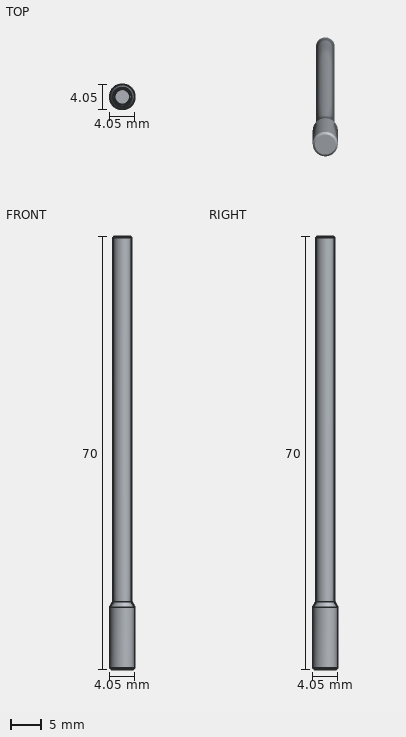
import cadquery as cq

total_length = 70.0
rod_diameter = 3.0
rod_end_chamfer = 0.3
sleeve_diameter = 4.05
sleeve_length = 11.0
sleeve_taper_height = 0.9
sleeve_bottom_chamfer = 0.35

sleeve_straight_top = sleeve_length - sleeve_taper_height
rod_radius = rod_diameter / 2
sleeve_radius = sleeve_diameter / 2


def make_rod():
    """Full-length round rod with a chamfered upper end."""
    rod = cq.Workplane("XY").circle(rod_radius).extrude(total_length)
    return rod.faces(">Z").chamfer(rod_end_chamfer)


def make_sleeve():
    """Sleeve around the lower rod, tapering down to the rod surface at its top."""
    profile = (
        cq.Workplane("XZ")
        .moveTo(rod_radius, 0)
        .lineTo(sleeve_radius - sleeve_bottom_chamfer, 0)
        .lineTo(sleeve_radius, sleeve_bottom_chamfer)
        .lineTo(sleeve_radius, sleeve_straight_top)
        .lineTo(rod_radius, sleeve_length)
        .close()
    )
    return profile.revolve(360, (0, 0), (0, 1))


rod = make_rod()
sleeve = make_sleeve()

result = cq.Compound.makeCompound([rod.val(), sleeve.val()])